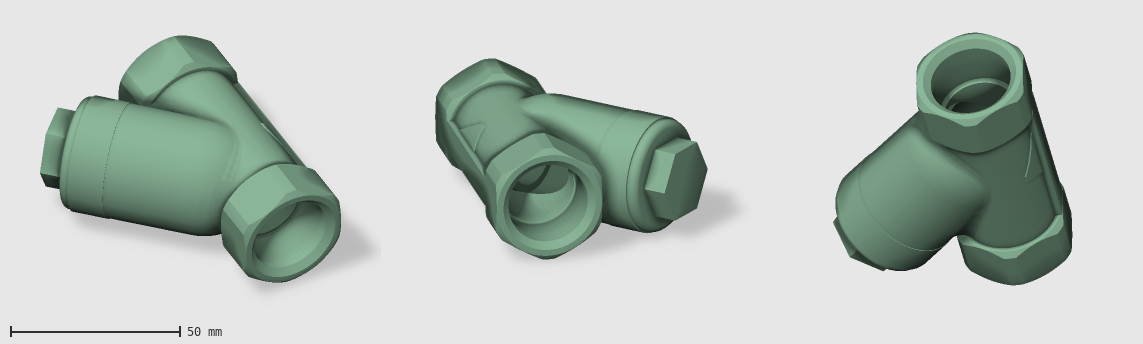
import cadquery as cq
import math

length = 80.0
nut_length = 15.7
nut_across_flats = 32.0
nut_corner_radius = 17.5
nut_end_radius = 15.8
nut_chamfer_length = 1.4
pipe_radius = 14.6
pad_half_width = 4.4
pad_y = nut_across_flats / 2

socket_mouth_radius = 14.0
socket_radius = 12.0
socket_depth = 16.3
passage_radius = 11.3
outlet_radius = 10.6
socket_step_length = 0.5

arrow_radius = 15.0
arrow_start_x = -2.6
arrow_barb_start_x = 1.1
arrow_barb_end_x = 3.5
arrow_end_x = 16.2
arrow_barb_half_width = 10.9

branch_angle = 225.0
branch_x = 14.4
branch_radius = 17.3
branch_inner_end = 4.0
branch_dome_radius = 20.0
branch_dome_start = 15.5
collar_radius = 17.5
collar_start = 41.0
collar_end = 51.9
branch_fillet = 4.0

chamber_radius = 13.7
seat_station = 8.6
seat_ring_height = 2.2
outlet_station = 2.1

plug_head_radius = 17.0
plug_head_fillet = 2.0
plug_head_end = 55.0
plug_hex_across_flats = 21.0
plug_hex_end = 62.0

branch_plane = cq.Plane(
    origin=(branch_x, 0, 0),
    xDir=(0, 0, 1),
    normal=(math.cos(math.radians(branch_angle)), math.sin(math.radians(branch_angle)), 0),
)


def x_cylinder(radius, start_x, end_x):
    return cq.Workplane("YZ", origin=(start_x, 0, 0)).circle(radius).extrude(end_x - start_x)


def branch_cylinder(radius, start, end):
    return cq.Workplane(branch_plane).workplane(offset=start).circle(radius).extrude(end - start)


def mirrored(body):
    return body.mirror("YZ")


def make_pad():
    """Flat-backed pad along the back of the pipe, from nut to nut."""
    pad_length = length - 2 * nut_length
    return cq.Workplane("XY").box(pad_length, pad_y, 2 * pad_half_width, centered=(True, False, True))


def make_arrow():
    """Arrow outline carried through the back half of a cylinder slightly wider than the pipe."""
    upper_half = [
        (arrow_start_x, pad_half_width),
        (arrow_barb_start_x, arrow_barb_half_width),
        (arrow_barb_end_x, arrow_barb_half_width),
        (arrow_end_x, pad_half_width),
    ]
    lower_half = [(x, -z) for x, z in reversed(upper_half)]
    outline = cq.Workplane("XZ").polyline(upper_half + lower_half).close().extrude(-pad_y)
    return outline.intersect(x_cylinder(arrow_radius, arrow_start_x, arrow_end_x))


def make_branch():
    """Barrel turned about the branch axis, with a domed inner end."""
    def dome_point(station):
        rise = math.sqrt(branch_dome_radius**2 - (branch_dome_start - station) ** 2)
        return (branch_radius - branch_dome_radius + rise, station)

    profile = (
        cq.Workplane("XY")
        .moveTo(0, branch_inner_end)
        .lineTo(*dome_point(branch_inner_end))
        .threePointArc(
            dome_point((branch_inner_end + branch_dome_start) / 2), (branch_radius, branch_dome_start)
        )
        .lineTo(branch_radius, collar_end)
        .lineTo(0, collar_end)
        .close()
    )
    turned = profile.revolve(360, (0, 0, 0), (0, 1, 0))
    return turned.rotate((0, 0, 0), (0, 0, 1), branch_angle - 90).translate((branch_x, 0, 0))


def make_nut():
    """Socket hexagon at the -X end, with its corners turned off and both ends chamfered."""
    start = -length / 2
    hexagon = (
        cq.Workplane("YZ", origin=(start, 0, 0))
        .polygon(6, nut_across_flats, circumscribed=True)
        .extrude(nut_length)
    )
    envelope = (
        cq.Workplane("XY")
        .moveTo(start, 0)
        .lineTo(start, nut_end_radius)
        .lineTo(start + nut_chamfer_length, nut_corner_radius)
        .lineTo(start + nut_length - nut_chamfer_length, nut_corner_radius)
        .lineTo(start + nut_length, nut_end_radius)
        .lineTo(start + nut_length, 0)
        .close()
        .revolve(360, (0, 0, 0), (1, 0, 0))
    )
    return hexagon.intersect(envelope)


def make_socket():
    """Void of the -X socket: chamfered mouth, thread bore and a step down to the passage."""
    start = -length / 2
    mouth_depth = socket_mouth_radius - socket_radius
    step = start + socket_depth
    return (
        cq.Workplane("XY")
        .moveTo(start, 0)
        .lineTo(start, socket_mouth_radius)
        .lineTo(start + mouth_depth, socket_radius)
        .lineTo(step, socket_radius)
        .lineTo(step + socket_step_length, passage_radius)
        .lineTo(step + socket_step_length, 0)
        .close()
        .revolve(360, (0, 0, 0), (1, 0, 0))
    )


def make_inlet():
    """Passage from the -X socket up to the slanted wall, leaving the ring of the seat standing."""
    wall = seat_station - seat_ring_height
    passage = x_cylinder(passage_radius, -length / 2, length / 2)
    passage = passage.intersect(branch_cylinder(length, wall, length))
    return passage.cut(branch_cylinder(chamber_radius, wall, seat_station))


def make_outlet():
    """Passage from the far side of the seat to the +X socket."""
    passage = x_cylinder(outlet_radius, -length / 2, length / 2)
    return passage.intersect(branch_cylinder(length, -length, outlet_station))


def make_housing():
    pipe_end = (length - nut_length) / 2
    body = x_cylinder(pipe_radius, -pipe_end, pipe_end).union(make_branch())
    seam = [edge for edge in body.edges().vals() if edge.geomType() == "BSPLINE"]
    body = body.newObject(seam).fillet(branch_fillet)

    body = body.union(branch_cylinder(collar_radius, collar_start, collar_end))
    body = body.union(make_pad()).union(make_arrow())
    body = body.union(make_nut()).union(mirrored(make_nut()))

    body = body.cut(make_socket()).cut(mirrored(make_socket()))
    body = body.cut(make_inlet()).cut(make_outlet())
    body = body.cut(branch_cylinder(passage_radius, outlet_station, seat_station))
    return body.cut(branch_cylinder(chamber_radius, seat_station, collar_end))


def make_plug():
    """Hexagon-headed plug whose shank fills the mouth of the chamber."""
    head = branch_cylinder(plug_head_radius, collar_end, plug_head_end)
    outer_face = cq.selectors.DirectionMinMaxSelector(branch_plane.zDir)
    head = head.faces(outer_face).edges().fillet(plug_head_fillet)
    hexagon = (
        cq.Workplane(branch_plane)
        .workplane(offset=plug_head_end)
        .polygon(6, plug_hex_across_flats, circumscribed=True)
        .extrude(plug_hex_end - plug_head_end)
    )
    return head.union(branch_cylinder(chamber_radius, collar_start, collar_end)).union(hexagon)


housing = make_housing()
plug = make_plug()
result = cq.Compound.makeCompound([housing.val(), plug.val()])